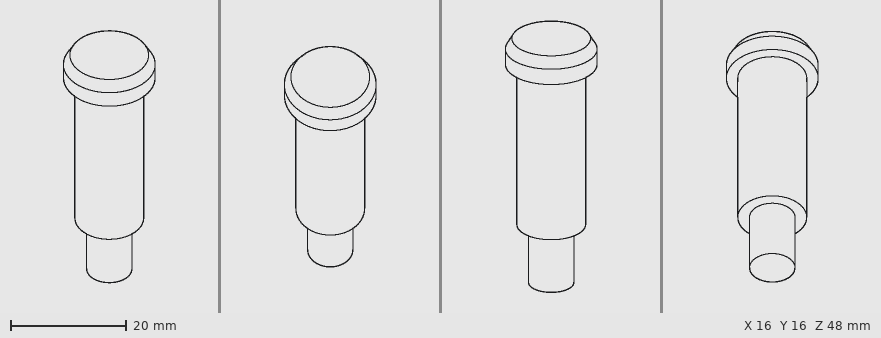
import cadquery as cq
import math

total_length = 48.0

head_diameter = 16.0
head_height = 5.0
head_top_diameter = 13.7
bevel_height = 2.0
barrel_diameter = 12.0

plunger_diameter = 7.9
plunger_length = 11.95
dome_height = 0.7

head_bottom_z = total_length - head_height
bevel_bottom_z = total_length - bevel_height


def make_housing():
    """Revolve the barrel and head, standing on the plunger's upper end."""
    return (
        cq.Workplane("XZ")
        .moveTo(0, plunger_length)
        .lineTo(barrel_diameter / 2, plunger_length)
        .lineTo(barrel_diameter / 2, head_bottom_z)
        .lineTo(head_diameter / 2, head_bottom_z)
        .lineTo(head_diameter / 2, bevel_bottom_z)
        .lineTo(head_top_diameter / 2, total_length)
        .lineTo(0, total_length)
        .close()
        .revolve(360, (0, 0, 0), (0, 1, 0))
    )


def make_plunger():
    """Revolve the pin, whose domed tip is a spherical cap centred on the axis."""
    radius = plunger_diameter / 2
    dome_radius = (radius**2 + dome_height**2) / (2 * dome_height)
    mid_x = radius / 2
    mid_z = dome_radius - math.sqrt(dome_radius**2 - mid_x**2)
    return (
        cq.Workplane("XZ")
        .moveTo(0, 0)
        .threePointArc((mid_x, mid_z), (radius, dome_height))
        .lineTo(radius, plunger_length)
        .lineTo(0, plunger_length)
        .close()
        .revolve(360, (0, 0, 0), (0, 1, 0))
    )


housing = make_housing()
plunger = make_plunger()

result = cq.Compound.makeCompound([housing.val(), plunger.val()])